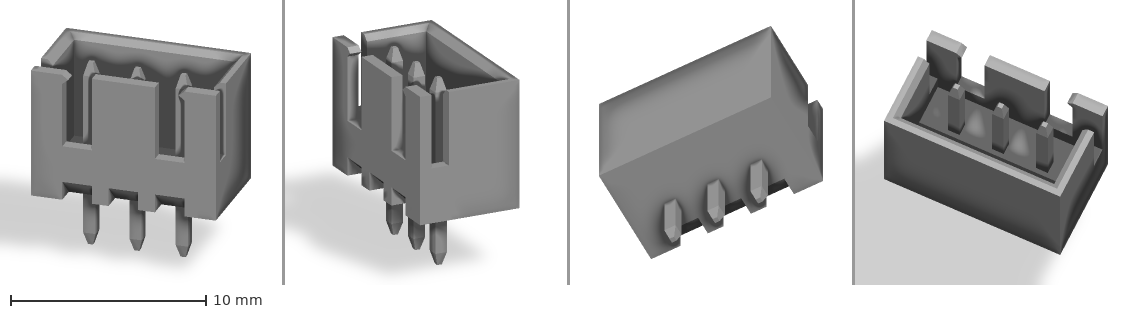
import cadquery as cq

length = 10.0
depth = 5.7
height = 7.0
overall_height = 10.3
wall = 0.65
front_y = -depth / 2
back_y = depth / 2

shelf_z = 2.0
lower_floor_z = 1.32
shelf_back_y = front_y + 2.87
step_run = 0.25

bevel_width = 0.31
bevel_drop = 0.31

slot_floor_z = 3.0
side_slot_width = 1.0
front_slot_width = 1.6

nub_reach = 0.31
nub_peak_drop = 0.26
nub_height = 0.5

notch_width = front_slot_width
notch_height = 1.0
notch_depth = 1.06

pin_pitch = 2.5
pin_xs = (-pin_pitch, 0, pin_pitch)
pin_y = front_y + 2.3
pin_side = 0.66
pin_tip_side = 0.27
pin_taper = 0.7
pin_bottom_z = height - overall_height
pin_top_z = 6.9


def box(x_range, y_range, z_range):
    """Axis-aligned box between pairs of limits."""
    spans = [high - low for low, high in (x_range, y_range, z_range)]
    corner = (x_range[0], y_range[0], z_range[0])
    return cq.Workplane("XY").box(*spans, centered=False).translate(corner)


def extrude_along_x(points, x_start, x_end):
    """Prism of a (y, z) outline."""
    return cq.Workplane("YZ").workplane(offset=x_start).polyline(points).close().extrude(x_end - x_start)


def make_cavity():
    """Space between the walls, with the stepped floor."""
    half_length = length / 2 - wall
    outline = [
        (front_y + wall, height),
        (front_y + wall, shelf_z),
        (shelf_back_y, shelf_z),
        (shelf_back_y + step_run, lower_floor_z),
        (back_y - wall, lower_floor_z),
        (back_y - wall, height),
    ]
    return extrude_along_x(outline, -half_length, half_length)


def make_rim_bevel():
    """Tapered cut along the back and side walls; it stops at the inner face of the front wall."""
    inner_length = length - 2 * wall
    inner_depth = depth - 2 * wall
    taper = (
        cq.Workplane("XY", origin=(0, 0, height - bevel_drop))
        .rect(inner_length, inner_depth)
        .workplane(offset=bevel_drop)
        .rect(inner_length + 2 * bevel_width, inner_depth + 2 * bevel_width)
        .loft(ruled=True)
    )
    behind_front_wall = box((-length / 2, length / 2), (front_y + wall, back_y), (0, height))
    return taper.intersect(behind_front_wall)


def make_side_slots():
    """One slot across both side walls, directly behind the front wall."""
    slot_front_y = front_y + wall
    y_range = (slot_front_y, slot_front_y + side_slot_width)
    return box((-length / 2, length / 2), y_range, (slot_floor_z, height))


def make_front_slot(side):
    """Slot through the front wall around an end pin; side is -1 for the left, +1 for the right."""
    outer_x = side * (pin_pitch + front_slot_width / 2)
    inner_x = side * (pin_pitch - front_slot_width / 2)
    outline = [
        (outer_x, height),
        (outer_x - side * nub_reach, height - nub_peak_drop),
        (outer_x, height - nub_height),
        (outer_x, slot_floor_z),
        (inner_x, slot_floor_z),
        (inner_x, height),
    ]
    return cq.Workplane("XZ", origin=(0, front_y, 0)).polyline(outline).close().extrude(-wall)


def make_notch(x):
    """Wedge open to the front and the underside."""
    outline = [(front_y, 0), (front_y, notch_height), (front_y + notch_depth, 0)]
    return extrude_along_x(outline, x - notch_width / 2, x + notch_width / 2)


def make_pin(x):
    """Square pin passing through the floor."""
    shank_bottom = pin_bottom_z + pin_taper
    shank_top = pin_top_z - pin_taper
    half = pin_side / 2
    pin = box((x - half, x + half), (pin_y - half, pin_y + half), (shank_bottom, shank_top))
    for shank_end, taper in ((shank_bottom, -pin_taper), (shank_top, pin_taper)):
        tip = (
            cq.Workplane("XY", origin=(x, pin_y, shank_end))
            .rect(pin_side, pin_side)
            .workplane(offset=taper)
            .rect(pin_tip_side, pin_tip_side)
            .loft(ruled=True)
        )
        pin = pin.union(tip)
    return pin


result = box((-length / 2, length / 2), (front_y, back_y), (0, height))
result = result.cut(make_cavity()).cut(make_rim_bevel()).cut(make_side_slots())
for side in (-1, 1):
    result = result.cut(make_front_slot(side))
for x in pin_xs:
    result = result.cut(make_notch(x))
for x in pin_xs:
    result = result.union(make_pin(x))